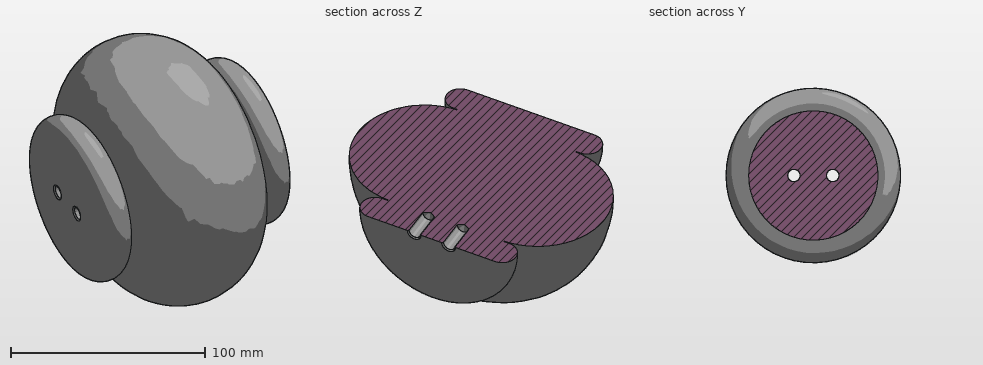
import cadquery as cq
import math

body_diameter = 144.0
body_width = 78.0
disc_diameter = 90.0
disc_width = 16.0
hole_diameter = 6.6
hole_mouth_diameter = 8.0
hole_spacing = 20.0
hole_depth = 15.8
drill_point_angle = 118.0

overall_width = body_width + 2 * disc_width
front_face_y = -overall_width / 2


def round_rimmed_disc(diameter, width, center_y):
    """Disc about the Y axis whose rim is a full half-round."""
    rim_radius = width / 2
    flat_radius = diameter / 2 - rim_radius
    front_y = center_y - rim_radius
    back_y = center_y + rim_radius
    return (
        cq.Workplane("XY")
        .moveTo(0, front_y)
        .lineTo(flat_radius, front_y)
        .threePointArc((diameter / 2, center_y), (flat_radius, back_y))
        .lineTo(0, back_y)
        .close()
        .revolve(360, (0, 0), (0, 1))
    )


def mounting_hole(center_x):
    """Blind drilled hole with a 45 degree countersink and a conical bottom."""
    radius = hole_diameter / 2
    mouth_radius = hole_mouth_diameter / 2
    countersink_depth = mouth_radius - radius
    point_depth = radius / math.tan(math.radians(drill_point_angle / 2))
    cutter = (
        cq.Workplane("XY")
        .lineTo(mouth_radius, 0)
        .lineTo(radius, countersink_depth)
        .lineTo(radius, hole_depth)
        .lineTo(0, hole_depth + point_depth)
        .close()
        .revolve(360, (0, 0), (0, 1))
    )
    return cutter.translate((center_x, front_face_y, 0))


result = round_rimmed_disc(body_diameter, body_width, 0)
disc_center_y = (body_width + disc_width) / 2
for side in (-1, 1):
    result = result.union(round_rimmed_disc(disc_diameter, disc_width, side * disc_center_y))

for side in (-1, 1):
    result = result.cut(mounting_hole(side * hole_spacing / 2))